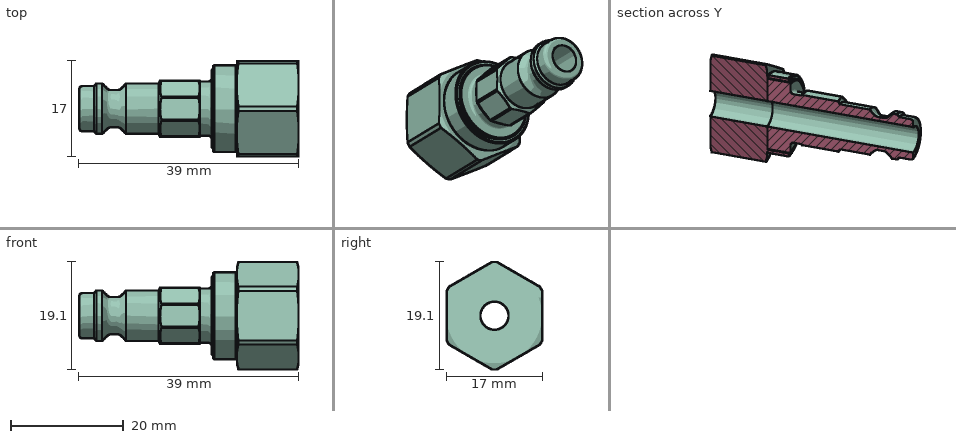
import cadquery as cq
import math


length = 39.0
bore_radius = 4.95 / 2
flange_radius = 14.0 / 2
recess_radius = 14.05 / 2
seat_x = 28.0
edge_break = 0.2

nose_radius = 8.1 / 2
nose_rounding = 0.6
nose_end_x = 2.64
shank_radius = 9.0 / 2
latch_rim_end_x = 4.08
groove_radius = 6.65 / 2
groove_rounding = 1.0
groove_end_x = 8.36

octagon_start_x = 14.1
octagon_end_x = 21.5
octagon_flats = 10.0
octagon_corner_radius = 10.7 / 2
octagon_chamfer_angle = math.radians(30)

neck_radius = 9.7 / 2
neck_fillet = 0.5
flange_face_x = 23.5

collar_radius = 15.5 / 2
collar_face_x = 23.8
hex_flats = 17.0
hex_corner_radius = 19.15 / 2
hex_chamfer_angle = math.radians(15)


def revolve_about_x(profile):
    """Revolve a closed profile, drawn as (x, radius), around the X axis."""
    return profile.close().revolve(360, (0, 0, 0), (1, 0, 0))


def cylinder_along_x(radius, start_x, end_x):
    return cq.Workplane("YZ", origin=(start_x, 0, 0)).circle(radius).extrude(end_x - start_x)


def prism_along_x(sides, flats, start_x, end_x, turn):
    """Regular prism along X, turned about X by the given angle in degrees."""
    circumscribed = flats / math.cos(math.pi / sides)
    prism = cq.Workplane("YZ", origin=(start_x, 0, 0)).polygon(sides, circumscribed).extrude(end_x - start_x)
    return prism.rotate((0, 0, 0), (1, 0, 0), turn)


def chamfered_round(start_x, end_x, start_radius, end_radius, corner_radius, angle):
    """Cylinder with a cone at each end; it trims the corners of a prism."""
    start_cone = (corner_radius - start_radius) * math.tan(angle)
    end_cone = (corner_radius - end_radius) * math.tan(angle)
    return revolve_about_x(
        cq.Workplane("XY")
        .moveTo(start_x, 0)
        .lineTo(start_x, start_radius)
        .lineTo(start_x + start_cone, corner_radius)
        .lineTo(end_x - end_cone, corner_radius)
        .lineTo(end_x, end_radius)
        .lineTo(end_x, 0)
    )


def make_plug_turning():
    """Turned shape of the plug: nose, latch groove, shank, neck and flange."""
    wall_angle = math.radians(45)
    arc_width = groove_rounding * math.sin(wall_angle)
    arc_height = groove_rounding * (1 - math.cos(wall_angle))
    cone = shank_radius - groove_radius - arc_height
    mid_angle = wall_angle / 2
    arc_mid_width = groove_rounding * math.sin(mid_angle)
    arc_mid_height = groove_rounding * (1 - math.cos(mid_angle))
    bottom_start_x = latch_rim_end_x + cone + arc_width
    bottom_end_x = groove_end_x - cone - arc_width

    return revolve_about_x(
        cq.Workplane("XY")
        .moveTo(0, 0)
        .lineTo(0, nose_radius - nose_rounding)
        .radiusArc((nose_rounding, nose_radius), nose_rounding)
        .lineTo(nose_end_x, nose_radius)
        .lineTo(nose_end_x + shank_radius - nose_radius, shank_radius)
        .lineTo(latch_rim_end_x, shank_radius)
        .lineTo(latch_rim_end_x + cone, shank_radius - cone)
        .threePointArc(
            (bottom_start_x - arc_mid_width, groove_radius + arc_mid_height),
            (bottom_start_x, groove_radius),
        )
        .lineTo(bottom_end_x, groove_radius)
        .threePointArc(
            (bottom_end_x + arc_mid_width, groove_radius + arc_mid_height),
            (groove_end_x - cone, shank_radius - cone),
        )
        .lineTo(groove_end_x, shank_radius)
        .lineTo(octagon_end_x, shank_radius)
        .lineTo(octagon_end_x, neck_radius)
        .lineTo(flange_face_x - neck_fillet, neck_radius)
        .radiusArc((flange_face_x, neck_radius + neck_fillet), -neck_fillet)
        .lineTo(flange_face_x, flange_radius - edge_break)
        .lineTo(flange_face_x + edge_break, flange_radius)
        .lineTo(seat_x, flange_radius)
        .lineTo(seat_x, 0)
    )


def make_octagon():
    """Wrench section with rounded corners and conical ends; flats face Y and Z."""
    octagon = prism_along_x(8, octagon_flats, octagon_start_x, octagon_end_x, 180 / 8)
    trim = chamfered_round(
        octagon_start_x, octagon_end_x, shank_radius, neck_radius, octagon_corner_radius, octagon_chamfer_angle
    )
    return octagon.intersect(trim)


def make_plug():
    bore = cylinder_along_x(bore_radius, 0, seat_x)
    return make_plug_turning().union(make_octagon()).cut(bore)


def make_collar():
    """Round front of the nut, with chamfered rims."""
    return revolve_about_x(
        cq.Workplane("XY")
        .moveTo(collar_face_x, 0)
        .lineTo(collar_face_x, collar_radius - edge_break)
        .lineTo(collar_face_x + edge_break, collar_radius)
        .lineTo(seat_x - edge_break, collar_radius)
        .lineTo(seat_x, collar_radius - edge_break)
        .lineTo(seat_x, 0)
    )


def make_hexagon():
    """Hexagon with rounded corners and conical ends; corners point up and down."""
    hexagon = prism_along_x(6, hex_flats, seat_x, length, 90)
    face_radius = hex_flats / 2
    trim = chamfered_round(seat_x, length, face_radius, face_radius, hex_corner_radius, hex_chamfer_angle)
    return hexagon.intersect(trim)


def make_nut():
    flange_recess = cylinder_along_x(recess_radius, collar_face_x, seat_x)
    bore = cylinder_along_x(bore_radius, seat_x, length)
    return make_hexagon().union(make_collar()).cut(flange_recess).cut(bore)


plug = make_plug()
nut = make_nut()

result = cq.Compound.makeCompound([*plug.solids().vals(), *nut.solids().vals()])